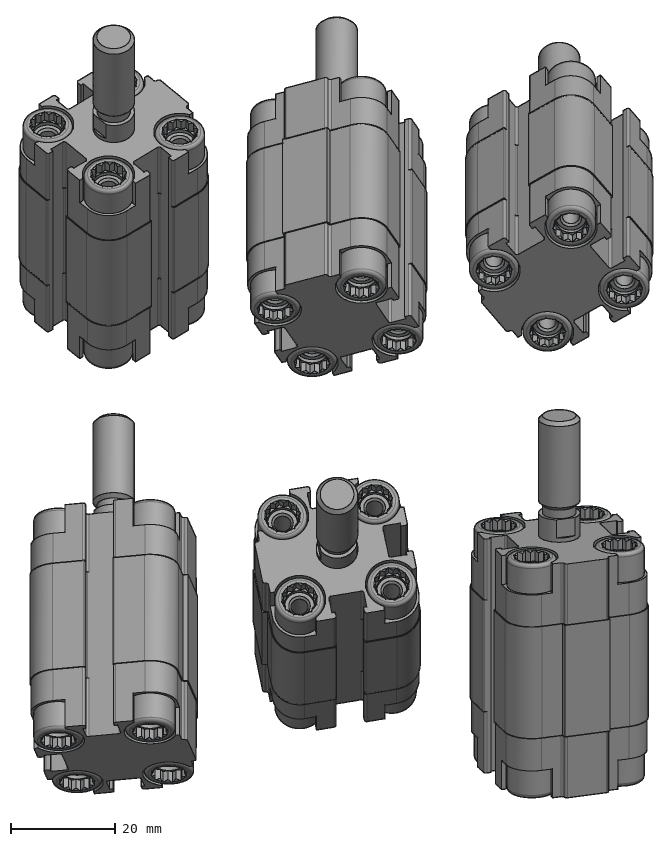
import cadquery as cq
import math

tube_width = 29.0
housing_height = 48.0
end_cap_inset = 0.2
tube_bottom = 12.6
tube_top = 35.5
hole_offset = 9.0

slot_half_width = 3.4
mouth_half_width = 2.75
slot_depth = 5.0
lip_thickness = 1.5

rib_width = 9.3
rib_height = 1.0
rib_flare = 0.15

tube_edge_radius = 0.2
cap_edge_radius = 0.47

pocket_diameter = 10.0
pocket_depth = 5.95
pocket_corner_offset = 6.7
boss_diameter = 9.5
boss_edge_radius = 0.7
screw_hole_diameter = 3.25
countersink_diameter = 4.1

tooth_count = 12
socket_root_diameter = 7.0
socket_tip_diameter = 6.0
tooth_depth = 2.25
tooth_chamfer = 0.35
recess_diameter = 5.7
recess_depth = 3.05

total_height = 72.5
rod_diameter = 8.0
neck_diameter = 6.45
neck_bottom = 52.55
neck_top = 54.3
thread_chamfer = (rod_diameter - neck_diameter) / 2
flat_bottom = 48.9
across_flats = 7.0

SLOT_TURNS = (0, 90, -90)


def slot_cutter(half_width, edge_radius):
    """T-slot facing -Y in a block of the given half width, with rounded floor and mouth edges."""
    half_tube = tube_width / 2
    floor_y = slot_depth - half_tube
    lip_y = lip_thickness - half_tube
    arc_start_y = edge_radius - half_width
    outside = 0.7
    flare = mouth_half_width + edge_radius
    chamber = (
        cq.Workplane("XY")
        .rect(2 * slot_half_width, floor_y - lip_y)
        .extrude(housing_height)
        .edges("|Z and >Y")
        .fillet(edge_radius)
        .translate((0, (floor_y + lip_y) / 2, 0))
    )
    mouth = (
        cq.Workplane("XY")
        .moveTo(-mouth_half_width, lip_y)
        .lineTo(mouth_half_width, lip_y)
        .lineTo(mouth_half_width, arc_start_y)
        .radiusArc((flare, -half_width), -edge_radius)
        .lineTo(flare, -half_width - outside)
        .lineTo(-flare, -half_width - outside)
        .lineTo(-flare, -half_width)
        .radiusArc((-mouth_half_width, arc_start_y), -edge_radius)
        .close()
        .extrude(housing_height)
    )
    return chamber.union(mouth)


def profile_block(inset, edge_radius, rib_is_rounded):
    """Full-height block with the housing's outline, shrunk by the inset.

    The slot edges are always rounded; the rib edges only if rib_is_rounded.
    """
    half_width = tube_width / 2 - inset
    corner_radius = half_width - hole_offset
    block = (
        cq.Workplane("XY")
        .rect(2 * half_width, 2 * half_width)
        .extrude(housing_height)
        .edges("|Z")
        .fillet(corner_radius)
    )
    half_rib = rib_width / 2 - inset
    half_base = half_rib + rib_flare
    rib_top = half_width + rib_height
    rib = (
        cq.Workplane("XY")
        .polyline(
            [
                (-half_base, 0),
                (half_base, 0),
                (half_base, half_width),
                (half_rib, rib_top),
                (-half_rib, rib_top),
                (-half_base, half_width),
            ]
        )
        .close()
        .extrude(housing_height)
    )
    block = block.union(rib)
    if rib_is_rounded:
        rib_edges = cq.selectors.BoxSelector(
            (-half_base - edge_radius, half_width - edge_radius, 0),
            (half_base + edge_radius, rib_top + edge_radius, housing_height),
        )
        block = block.edges("|Z").edges(rib_edges).fillet(edge_radius)
    for turn in SLOT_TURNS:
        cutter = slot_cutter(half_width, edge_radius)
        block = block.cut(cutter.rotate((0, 0, 0), (0, 0, 1), turn))
    return block


def slab(bottom, top):
    """Wide horizontal slab that picks out one stretch of the housing's height."""
    plane = cq.Workplane("XY", origin=(0, 0, bottom))
    return plane.rect(2 * tube_width, 2 * tube_width).extrude(top - bottom)


def star_points():
    """Corners of the toothed socket; the roots lie on the X and Y directions."""
    points = []
    for index in range(2 * tooth_count):
        diameter = socket_root_diameter if index % 2 == 0 else socket_tip_diameter
        angle = math.pi * index / tooth_count
        points.append((diameter / 2 * math.cos(angle), diameter / 2 * math.sin(angle)))
    return points


def cone(bottom_diameter, top_diameter, bottom, top):
    """Cone about the Z axis between two heights."""
    return cq.Workplane("XY").add(
        cq.Solid.makeCone(bottom_diameter / 2, top_diameter / 2, top - bottom, pnt=cq.Vector(0, 0, bottom))
    )


def corner_pocket():
    """Pocket around a top boss, in the +X +Y corner, with the screw axis as origin."""
    floor_z = housing_height - pocket_depth
    round_part = (
        cq.Workplane("XY", origin=(0, 0, floor_z)).circle(pocket_diameter / 2).extrude(pocket_depth)
    )
    wall = pocket_corner_offset - hole_offset
    open_corner = (
        cq.Workplane("XY", origin=(wall, wall, floor_z))
        .rect(hole_offset, hole_offset, centered=False)
        .extrude(pocket_depth)
    )
    return round_part.union(open_corner)


def boss():
    """Solid boss with a rounded top rim, on the screw axis."""
    return (
        cq.Workplane("XY", origin=(0, 0, housing_height - pocket_depth))
        .circle(boss_diameter / 2)
        .extrude(pocket_depth)
        .faces(">Z")
        .edges()
        .fillet(boss_edge_radius)
    )


def socket():
    """Toothed socket, round recess, countersink and screw hole right through."""
    teeth = (
        cq.Workplane("XY", origin=(0, 0, housing_height - tooth_depth))
        .polyline(star_points())
        .close()
        .extrude(tooth_depth)
    )
    lead_in = cone(
        socket_tip_diameter,
        socket_tip_diameter + 2 * tooth_chamfer,
        housing_height - tooth_chamfer,
        housing_height,
    )
    floor_z = housing_height - recess_depth
    recess = cq.Workplane("XY", origin=(0, 0, floor_z)).circle(recess_diameter / 2).extrude(recess_depth)
    countersink_depth = (countersink_diameter - screw_hole_diameter) / 2
    countersink = cone(screw_hole_diameter, countersink_diameter, floor_z - countersink_depth, floor_z)
    hole = cq.Workplane("XY").circle(screw_hole_diameter / 2).extrude(housing_height)
    return teeth.union(lead_in).union(recess).union(countersink).union(hole)


def at_corners(shape):
    """Copies of a shape at the four screw axes, at the top and mirrored to the bottom."""
    mid_height = (0, 0, housing_height / 2)
    copies = []
    for turn in (0, 90, 180, 270):
        upper = shape.translate((hole_offset, hole_offset, 0)).rotate((0, 0, 0), (0, 0, 1), turn)
        copies.append(upper)
        copies.append(upper.mirror("XY", mid_height))
    return copies


def make_housing():
    """Tube between two slightly smaller end caps, with the bosses and their sockets."""
    tube = profile_block(0, tube_edge_radius, False).intersect(slab(tube_bottom, tube_top))
    caps = profile_block(end_cap_inset, cap_edge_radius, True).cut(slab(tube_bottom, tube_top))
    body = tube.union(caps)
    for pocket in at_corners(corner_pocket()):
        body = body.cut(pocket)
    for solid_boss in at_corners(boss()):
        body = body.union(solid_boss)
    for boss_socket in at_corners(socket()):
        body = body.cut(boss_socket)
    return body


def make_rod():
    """Turned rod with a chamfered thread length, a neck and two wrench flats."""
    rod_radius = rod_diameter / 2
    neck_radius = neck_diameter / 2
    rod = (
        cq.Workplane("XZ")
        .moveTo(0, housing_height)
        .lineTo(rod_radius, housing_height)
        .lineTo(rod_radius, neck_bottom)
        .lineTo(neck_radius, neck_bottom)
        .lineTo(neck_radius, neck_top)
        .lineTo(rod_radius, neck_top + thread_chamfer)
        .lineTo(rod_radius, total_height - thread_chamfer)
        .lineTo(rod_radius - thread_chamfer, total_height)
        .lineTo(0, total_height)
        .close()
        .revolve(360, (0, 0, 0), (0, 1, 0))
    )
    for side in (-1, 1):
        flat_cut = (
            cq.Workplane("XY", origin=(0, side * (across_flats + rod_diameter) / 2, flat_bottom))
            .rect(rod_diameter, rod_diameter)
            .extrude(neck_bottom - flat_bottom)
        )
        rod = rod.cut(flat_cut)
    return rod


housing = make_housing()
piston_rod = make_rod()
result = cq.Compound.makeCompound([housing.val(), piston_rod.val()])